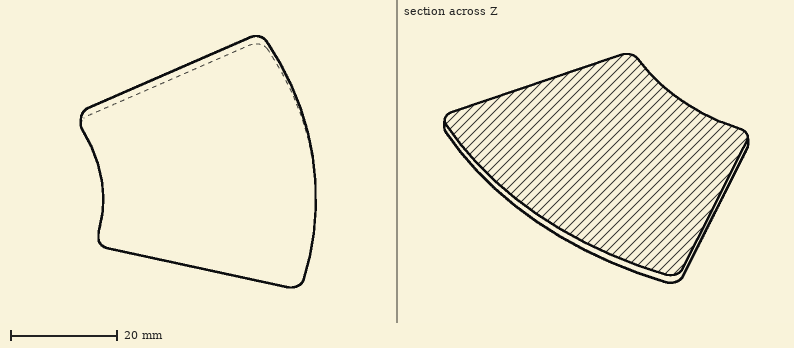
import cadquery as cq
import math

height = 4.0
edge_radius = 2.5
sweep_angle = 45.0
flat_inner_radius = 36.4
flat_outer_radius = 71.45
arc_flattening = 0.45


def polar_point(radius, angle):
    """Point at a radius and an angle in degrees from the sector centre."""
    turn = math.radians(angle)
    return (radius * math.cos(turn), radius * math.sin(turn))


def flat_sector():
    """Outline of the flat top face, with the sector centre at the origin."""
    middle_angle = sweep_angle / 2
    return (
        cq.Workplane("XY")
        .moveTo(*polar_point(flat_inner_radius, 0))
        .lineTo(*polar_point(flat_outer_radius, 0))
        .threePointArc(
            polar_point(flat_outer_radius - arc_flattening, middle_angle),
            polar_point(flat_outer_radius, sweep_angle),
        )
        .lineTo(*polar_point(flat_inner_radius, sweep_angle))
        .threePointArc(
            polar_point(flat_inner_radius - arc_flattening, middle_angle),
            polar_point(flat_inner_radius, 0),
        )
        .close()
    )


plate = flat_sector().offset2D(edge_radius, "arc").extrude(height)

result = plate.faces(">Z").edges().fillet(edge_radius)